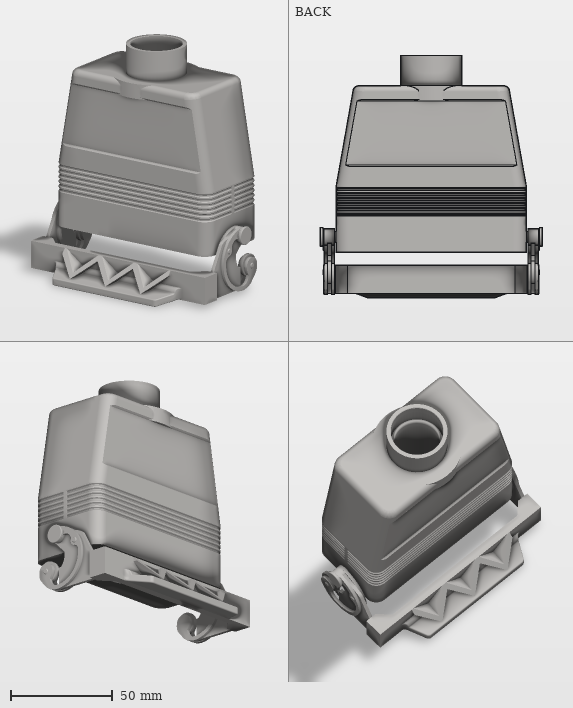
import cadquery as cq
import math


HOOD_HALF_LENGTH = 46.8
HOOD_HALF_WIDTH = 21.6
HOOD_TOP = 82.0
HOOD_TOP_HALF_LENGTH = 38.1
TAPER_START = 32.7
CORNER_RADIUS = 6.1
TOP_FILLET = 3.0

RECESS_DEPTH = 1.0
RECESS_BOTTOM = 42.1
RECESS_TOP = 75.3

GROOVE_COUNT = 6
GROOVE_PITCH = 2.5
GROOVE_HEIGHT = 1.7
GROOVE_FLOOR = 0.7
GROOVE_DEPTH = 0.6
FIRST_GROOVE_Z = 18.6
GROOVE_BREAK = 2.1

BOSS_RADIUS = 22.5
BOSS_BOTTOM = RECESS_TOP - RECESS_DEPTH
TUBE_TOP = 96.9
TUBE_RADIUS = 15.0
TUBE_BORE_RADIUS = 12.9
TUBE_BORE_DEPTH = 12.2
HOLE_RADIUS = 11.3
HOLE_LIP_FILLET = 1.2
TUBE_MOUTH_CHAMFER = 0.2

PLATE_INNER_X = 49.2
PLATE_OUTER_X = 51.1
CHEEK_THICKNESS = 1.7
CHEEK_INNER_X = PLATE_INNER_X - CHEEK_THICKNESS
CHEEK_OUTER_X = PLATE_OUTER_X + CHEEK_THICKNESS
CHEEK_RADIUS = 16.2
CHEEK_INNER_RADIUS = 14.1
CHEEK_CENTRE_Z = -4.5
PIVOT_Z = 7.6
PIVOT_DISC_RADIUS = CHEEK_RADIUS + CHEEK_CENTRE_Z - PIVOT_Z
PIN_RADIUS = 2.7
KNOB_RADIUS = 4.7
KNOB_FILLET = 0.4
KNOB_OUTER_X = 109.5 / 2
KNOB_THICKNESS = 1.4
KNOB_NECK_RADIUS = 4.2
HOOK_Y = 7.4
HOOK_Z = -9.8
HOOK_RADIUS = 4.3
ROLLER_RADIUS = 5.6
RIVET_RADIUS = 1.4
RIVET_HEIGHT = 0.42
RIVET_CHAMFER = 0.4
RIVET_Y = -11.6
RIVET_Z = 2.1

NOTCH_BACK_Y = 0.2
NOTCH_CORNER = (-1.2, -9.1)
NOTCH_BOTTOM = (-2.9, -6.6)
NOTCH_TOP = (-3.5, -1.5)
PLATE_PIVOT_BACK = (2.9, 4.4)
PLATE_BEND_START = (-13.5, 7.0)
PLATE_BEND_MIDDLE = (-14.7, 6.3)
PLATE_BEND_END = (-15.5, 5.3)
HOOK_OUTER_BEND_MIDDLE = (3.7, -20.0)
HOOK_OUTER_BEND_END = (6.7, -18.5)
HOOK_OUTER_LINE_END = (10.3, -14.6)
HOOK_OUTER_TIP = (11.5, -12.4)
HOOK_NECK = (3.5, -11.6)
HOOK_THROAT_START = (4.8, -14.2)
HOOK_THROAT_MIDDLE = (3.1, -17.4)
RIVET_PAD_BELOW = (-13.4, -1.4)
RIVET_PAD_START = (-11.7, -0.5)
RIVET_PAD_MIDDLE = (-9.3, 1.3)
RIVET_PAD_END = (-9.4, 3.5)
CHEEK_INNER_BEND = (-7.6, 6.2)
CHEEK_PIVOT_FRONT = (-4.5, 6.8)

BAR_HALF_LENGTH = 53.0
BAR_TOP = -6.3
BAR_BOTTOM = -20.3
BAR_BACK_Y = -22.1
BAR_RECESS_Y = -27.9
BAR_FRONT_Y = -32.2
BAR_RECESS_HALF_LENGTH = 41.2
BAR_END_HALF_LENGTH = 47.0

FLANGE_FRONT_Y = -44.2
FLANGE_ROOT_HALF_LENGTH = 39.4
FLANGE_SIDE_HALF_LENGTH = 36.5
FLANGE_FLARE_REACH = 1.8
FLANGE_TIP_HALF_LENGTH = 31.4
FLANGE_TOP = -16.5
FLANGE_DROP = 2.3
FLANGE_CORNER_FILLET = 2.1
FLANGE_EDGE_FILLET = 0.6
FLANGE_ROOT_FILLET = 2.9

RIB_COUNT = 3
RIB_PITCH = 21.5
RIB_END_HEIGHT = 2.4
RIB_DEPTH = 11.5
RIB_FACE_SLOPE = 1.08
TROUGH_HALF_WIDTH = 9.7
TROUGH_DEPTH = 7.2
TROUGH_SLOPE = 0.2


def hood_shell():
    """Rounded block whose two ends lean inward above the grooves."""
    right_half = [
        (HOOD_HALF_LENGTH, 0),
        (HOOD_HALF_LENGTH, TAPER_START),
        (HOOD_TOP_HALF_LENGTH, HOOD_TOP),
    ]
    left_half = [(-x, z) for x, z in reversed(right_half)]
    return (
        cq.Workplane("XZ")
        .polyline(right_half + left_half)
        .close()
        .extrude(HOOD_HALF_WIDTH, both=True)
        .edges("(<Y or >Y) and (not |X)")
        .fillet(CORNER_RADIUS)
        .faces(">Z")
        .edges()
        .fillet(TOP_FILLET)
    )


def face_recess():
    """Cutter for the front recess, with sloping upper and lower ends."""
    floor_y = RECESS_DEPTH - HOOD_HALF_WIDTH
    outside_y = -HOOD_HALF_WIDTH - RECESS_DEPTH
    profile = [
        (floor_y, RECESS_BOTTOM + RECESS_DEPTH),
        (floor_y, RECESS_TOP - RECESS_DEPTH),
        (outside_y, RECESS_TOP + RECESS_DEPTH),
        (outside_y, RECESS_BOTTOM - RECESS_DEPTH),
    ]
    return cq.Workplane("YZ").polyline(profile).close().extrude(HOOD_HALF_LENGTH, both=True)


def grooves():
    """Cutters for the grooves, each broken at the middle of both hood ends."""
    outline = (
        cq.Sketch()
        .rect(2 * HOOD_HALF_LENGTH, 2 * HOOD_HALF_WIDTH)
        .vertices()
        .fillet(CORNER_RADIUS)
    )
    path = cq.Workplane().placeSketch(outline).extrude(1.2).faces("<Z").wires()
    floor_y = GROOVE_DEPTH - HOOD_HALF_WIDTH
    half_height = GROOVE_HEIGHT / 2
    half_floor = GROOVE_FLOOR / 2
    profile = [
        (-HOOD_HALF_WIDTH, -half_height),
        (floor_y, -half_floor),
        (floor_y, half_floor),
        (-HOOD_HALF_WIDTH, half_height),
    ]
    ring = cq.Workplane("YZ").polyline(profile).close().sweep(path)
    bridge = cq.Workplane().box(3 * HOOD_HALF_LENGTH, GROOVE_BREAK, GROOVE_HEIGHT)
    groove = ring.cut(bridge)
    levels = [(0, 0, FIRST_GROOVE_Z + index * GROOVE_PITCH) for index in range(GROOVE_COUNT)]
    return cq.Workplane().pushPoints(levels).eachpoint(groove.val(), combine=False)


def cable_bore():
    """Stepped bore through the tube and the hood."""
    ledge = TUBE_TOP - TUBE_BORE_DEPTH
    wide = (
        cq.Workplane()
        .workplane(offset=ledge)
        .circle(TUBE_BORE_RADIUS)
        .extrude(TUBE_BORE_DEPTH)
    )
    lip = (
        cq.Workplane("XZ")
        .moveTo(0, ledge)
        .lineTo(HOLE_RADIUS + HOLE_LIP_FILLET, ledge)
        .radiusArc((HOLE_RADIUS, ledge - HOLE_LIP_FILLET), -HOLE_LIP_FILLET)
        .lineTo(0, ledge - HOLE_LIP_FILLET)
        .close()
        .revolve(360, (0, 0, 0), (0, 1, 0))
    )
    narrow = cq.Workplane().circle(HOLE_RADIUS).extrude(ledge)
    mouth = (
        cq.Workplane()
        .workplane(offset=TUBE_TOP)
        .circle(TUBE_BORE_RADIUS + TUBE_MOUTH_CHAMFER)
        .extrude(-TUBE_MOUTH_CHAMFER, taper=45)
    )
    return wide.union(lip).union(narrow).union(mouth)


def hood():
    recess = face_recess()
    boss = cq.Workplane().workplane(offset=BOSS_BOTTOM).circle(BOSS_RADIUS).extrude(HOOD_TOP - BOSS_BOTTOM)
    tube = cq.Workplane().workplane(offset=HOOD_TOP).circle(TUBE_RADIUS).extrude(TUBE_TOP - HOOD_TOP)
    return (
        hood_shell()
        .cut(recess)
        .cut(recess.mirror("XZ"))
        .cut(grooves())
        .union(boss)
        .union(tube)
        .cut(cable_bore())
    )


def disc(y, z, radius, inner_x, outer_x):
    """Round disc with its axis along X."""
    return (
        cq.Workplane("YZ", origin=(inner_x, 0, 0))
        .center(y, z)
        .circle(radius)
        .extrude(outer_x - inner_x)
    )


def on_cheek(degrees, radius=CHEEK_RADIUS):
    """Point on a cheek arc, at an angle from the forward direction, positive upward."""
    angle = math.radians(degrees)
    return (-radius * math.cos(angle), CHEEK_CENTRE_Z + radius * math.sin(angle))


def arm_plate():
    """Middle plate, joining the pivot to the bar, with a notch at the back."""
    body = (
        cq.Workplane("YZ", origin=(PLATE_INNER_X, 0, 0))
        .moveTo(*on_cheek(90))
        .lineTo(*PLATE_BEND_START)
        .threePointArc(PLATE_BEND_MIDDLE, PLATE_BEND_END)
        .lineTo(BAR_BACK_Y, BAR_TOP)
        .lineTo(BAR_BACK_Y, BAR_BOTTOM)
        .lineTo(NOTCH_BACK_Y, BAR_BOTTOM)
        .lineTo(NOTCH_BACK_Y, NOTCH_CORNER[1])
        .lineTo(*NOTCH_CORNER)
        .threePointArc(NOTCH_BOTTOM, NOTCH_TOP)
        .lineTo(*PLATE_PIVOT_BACK)
        .lineTo(0, PIVOT_Z)
        .close()
        .extrude(PLATE_OUTER_X - PLATE_INNER_X)
    )
    return body.union(disc(0, PIVOT_Z, PIVOT_DISC_RADIUS, PLATE_INNER_X, PLATE_OUTER_X))


def cheek(inner_x):
    """Crescent from the pivot round to the hook."""
    crescent = (
        cq.Workplane("YZ", origin=(inner_x, 0, 0))
        .moveTo(*on_cheek(90))
        .threePointArc(on_cheek(0), on_cheek(-90))
        .threePointArc(HOOK_OUTER_BEND_MIDDLE, HOOK_OUTER_BEND_END)
        .lineTo(*HOOK_OUTER_LINE_END)
        .threePointArc(HOOK_OUTER_TIP, (HOOK_Y + HOOK_RADIUS, HOOK_Z))
        .threePointArc((HOOK_Y, HOOK_Z + HOOK_RADIUS), (HOOK_Y - HOOK_RADIUS, HOOK_Z))
        .threePointArc(HOOK_NECK, HOOK_THROAT_START)
        .threePointArc(HOOK_THROAT_MIDDLE, on_cheek(-90, CHEEK_INNER_RADIUS))
        .threePointArc(on_cheek(-45, CHEEK_INNER_RADIUS), on_cheek(0, CHEEK_INNER_RADIUS))
        .threePointArc(RIVET_PAD_BELOW, RIVET_PAD_START)
        .threePointArc(RIVET_PAD_MIDDLE, RIVET_PAD_END)
        .threePointArc(CHEEK_INNER_BEND, CHEEK_PIVOT_FRONT)
        .lineTo(0, PIVOT_Z)
        .close()
        .extrude(CHEEK_THICKNESS)
    )
    return crescent.union(disc(0, PIVOT_Z, PIVOT_DISC_RADIUS, inner_x, inner_x + CHEEK_THICKNESS))


def rivet(y, z):
    head = disc(y, z, RIVET_RADIUS, CHEEK_OUTER_X, CHEEK_OUTER_X + RIVET_HEIGHT)
    return head.faces(">X").edges().chamfer(RIVET_CHAMFER)


def arm():
    """Complete lever arm at the +X end, with its pivot pin and knob."""
    knob_inner_x = KNOB_OUTER_X - KNOB_THICKNESS
    neck = disc(0, PIVOT_Z, KNOB_NECK_RADIUS, CHEEK_OUTER_X, knob_inner_x)
    knob = disc(0, PIVOT_Z, KNOB_RADIUS, knob_inner_x, KNOB_OUTER_X).edges().fillet(KNOB_FILLET)
    return (
        arm_plate()
        .union(cheek(CHEEK_INNER_X))
        .union(cheek(PLATE_OUTER_X))
        .union(disc(HOOK_Y, HOOK_Z, ROLLER_RADIUS, PLATE_INNER_X, PLATE_OUTER_X))
        .union(disc(0, PIVOT_Z, PIN_RADIUS, HOOD_TOP_HALF_LENGTH, CHEEK_INNER_X))
        .union(neck)
        .union(knob)
        .union(rivet(HOOK_Y, HOOK_Z))
        .union(rivet(RIVET_Y, RIVET_Z))
    )


def bar():
    """Cross bar, relieved at the back between its ends."""
    right_half = [
        (BAR_HALF_LENGTH, BAR_FRONT_Y),
        (BAR_HALF_LENGTH, BAR_BACK_Y),
        (BAR_END_HALF_LENGTH, BAR_BACK_Y),
        (BAR_RECESS_HALF_LENGTH, BAR_RECESS_Y),
    ]
    left_half = [(-x, y) for x, y in reversed(right_half)]
    return (
        cq.Workplane()
        .workplane(offset=BAR_BOTTOM)
        .polyline(right_half + left_half)
        .close()
        .extrude(BAR_TOP - BAR_BOTTOM)
    )


def flange():
    """Sloping finger flange, flared where it meets the bar and narrowing toward its front."""
    slope = math.atan2(FLANGE_DROP, BAR_FRONT_Y - FLANGE_FRONT_Y)
    root_reach = FLANGE_ROOT_FILLET * math.tan(math.pi / 4 - slope / 2)
    side_profile = (
        cq.Workplane("YZ")
        .moveTo(BAR_FRONT_Y, BAR_BOTTOM)
        .lineTo(FLANGE_FRONT_Y, BAR_BOTTOM - FLANGE_DROP)
        .lineTo(FLANGE_FRONT_Y, FLANGE_TOP - FLANGE_DROP)
        .lineTo(BAR_FRONT_Y - root_reach * math.cos(slope), FLANGE_TOP - root_reach * math.sin(slope))
        .radiusArc((BAR_FRONT_Y, FLANGE_TOP + root_reach), FLANGE_ROOT_FILLET)
        .close()
    )
    slab = side_profile.extrude(BAR_HALF_LENGTH, both=True)
    side_y = BAR_FRONT_Y - FLANGE_FLARE_REACH
    column = (
        cq.Workplane()
        .moveTo(-FLANGE_ROOT_HALF_LENGTH, BAR_FRONT_Y)
        .radiusArc((-FLANGE_SIDE_HALF_LENGTH, side_y), FLANGE_ROOT_FILLET)
        .lineTo(-FLANGE_TIP_HALF_LENGTH, FLANGE_FRONT_Y)
        .lineTo(FLANGE_TIP_HALF_LENGTH, FLANGE_FRONT_Y)
        .lineTo(FLANGE_SIDE_HALF_LENGTH, side_y)
        .radiusArc((FLANGE_ROOT_HALF_LENGTH, BAR_FRONT_Y), FLANGE_ROOT_FILLET)
        .close()
        .extrude(2 * BAR_BOTTOM)
        .edges("|Z and <Y")
        .fillet(FLANGE_CORNER_FILLET)
    )
    return slab.intersect(column).edges("not (>Y or |Z)").fillet(FLANGE_EDGE_FILLET)


def ribs():
    """Zigzag of V-shaped troughs on the bar's front, cut off by a sloping face."""
    half_pitch = RIB_PITCH / 2
    half_length = RIB_COUNT * half_pitch
    low_end = BAR_TOP - RIB_END_HEIGHT
    profile = [(-half_length, BAR_TOP), (-half_length, low_end)]
    trough_centres = []
    for index in range(RIB_COUNT):
        centre = -half_length + (index + 0.5) * RIB_PITCH
        trough_centres.append(centre)
        profile += [(centre, BAR_TOP - RIB_DEPTH), (centre + half_pitch, low_end)]
    profile.append((half_length, BAR_TOP))

    reach = BAR_FRONT_Y - FLANGE_FRONT_Y
    zigzag = cq.Workplane("XZ", origin=(0, BAR_FRONT_Y, 0)).polyline(profile).close().extrude(reach)
    below_slope = (
        cq.Workplane("YZ")
        .polyline(
            [
                (BAR_FRONT_Y, BAR_TOP),
                (FLANGE_FRONT_Y, BAR_TOP - reach * RIB_FACE_SLOPE),
                (BAR_FRONT_Y, BAR_TOP - reach * RIB_FACE_SLOPE),
            ]
        )
        .close()
        .extrude(BAR_HALF_LENGTH, both=True)
    )
    ridge = zigzag.intersect(below_slope)
    for centre in trough_centres:
        ridge = ridge.cut(trough(centre, reach))
    return ridge


def trough(centre, reach):
    """V-shaped cutter that runs forward and slightly down."""
    section = cq.Wire.makePolygon(
        [
            cq.Vector(centre - TROUGH_HALF_WIDTH, BAR_FRONT_Y, BAR_TOP),
            cq.Vector(centre + TROUGH_HALF_WIDTH, BAR_FRONT_Y, BAR_TOP),
            cq.Vector(centre, BAR_FRONT_Y, BAR_TOP - TROUGH_DEPTH),
        ],
        close=True,
    )
    path = cq.Vector(0, -reach, -reach * TROUGH_SLOPE)
    return cq.Workplane(cq.Solid.extrudeLinear(section, [], path))


def handle():
    return bar().union(flange()).union(ribs())


right_arm = arm()
result = hood().union(handle()).union(right_arm).union(right_arm.mirror("YZ"))